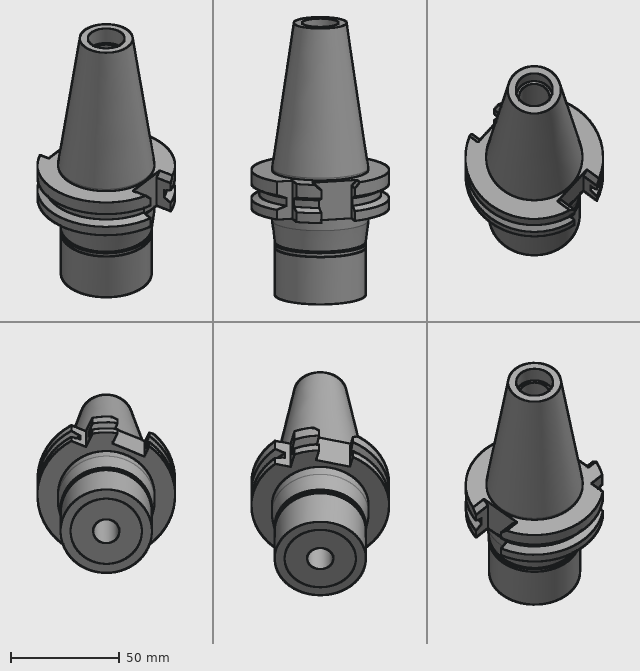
import cadquery as cq

TOTAL_HEIGHT = 128.4
GAUGE_Z = 60.0
FLANGE_TOP_Z = 58.9
GROOVE_TOP_Z = 52.5
GROOVE_BOTTOM_Z = 45.6
FLANGE_BOTTOM_Z = 41.0
SHANK_TAPER_Z = 35.2
SHANK_BOTTOM_Z = 25.0
RING_TOP_Z = 24.3
NUT_TOP_Z = 22.3

GAUGE_RADIUS = 22.2
TAPER_RATIO = 7 / 24
FLANGE_DIAMETER = 63.5
FLANGE_RADIUS = FLANGE_DIAMETER / 2
GROOVE_RADIUS = 28.1
GROOVE_FLANK_HEIGHT = 1.7
SHANK_RADIUS = 22.3
SHANK_END_RADIUS = 21.0
NECK_RADIUS = 16.4

COUNTERBORE_RADIUS = 8.5
COUNTERBORE_DEPTH = 8.0
THREAD_HOLE_RADIUS = 7.0
SEAT_RADIUS = 6.8
CONE_END_RADIUS = 6.3
BORE_RADIUS = 6.0

SLOT_WIDTH = 16.0
SLOT_CHAMFER = 2.6
LEFT_SLOT_FLOOR = 25.0
RIGHT_SLOT_FLOOR = 22.7
NOTCH_OFFSET = 18.5

RING_RADIUS = 21.2
RING_CHAMFER = 0.3
NUT_RADIUS = 21.0


def holder_blank():
    """Turned outside of the holder: taper, grooved flange, shank and neck."""
    taper_end_radius = GAUGE_RADIUS - (TOTAL_HEIGHT - GAUGE_Z) * TAPER_RATIO / 2
    groove_upper_z = GROOVE_TOP_Z - GROOVE_FLANK_HEIGHT
    groove_lower_z = GROOVE_BOTTOM_Z + GROOVE_FLANK_HEIGHT
    outline = [
        (0, 0),
        (NECK_RADIUS, 0),
        (NECK_RADIUS, SHANK_BOTTOM_Z),
        (SHANK_END_RADIUS, SHANK_BOTTOM_Z),
        (SHANK_RADIUS, SHANK_TAPER_Z),
        (SHANK_RADIUS, FLANGE_BOTTOM_Z),
        (FLANGE_RADIUS, FLANGE_BOTTOM_Z),
        (FLANGE_RADIUS, GROOVE_BOTTOM_Z),
        (GROOVE_RADIUS, groove_lower_z),
        (GROOVE_RADIUS, groove_upper_z),
        (FLANGE_RADIUS, GROOVE_TOP_Z),
        (FLANGE_RADIUS, FLANGE_TOP_Z),
        (GAUGE_RADIUS, FLANGE_TOP_Z),
        (GAUGE_RADIUS, GAUGE_Z),
        (taper_end_radius, TOTAL_HEIGHT),
        (0, TOTAL_HEIGHT),
    ]
    return cq.Workplane("XZ").polyline(outline).close().revolve(360, (0, 0), (0, 1))


def bore():
    """Stepped bore: counterbore, thread hole down to the gauge plane, 45-degree cone, through bore."""
    cone_depth = SEAT_RADIUS - CONE_END_RADIUS
    counterbore_floor_z = TOTAL_HEIGHT - COUNTERBORE_DEPTH
    outline = [
        (0, 0),
        (BORE_RADIUS, 0),
        (BORE_RADIUS, GAUGE_Z - cone_depth),
        (CONE_END_RADIUS, GAUGE_Z - cone_depth),
        (SEAT_RADIUS, GAUGE_Z),
        (THREAD_HOLE_RADIUS, GAUGE_Z),
        (THREAD_HOLE_RADIUS, counterbore_floor_z),
        (COUNTERBORE_RADIUS, counterbore_floor_z),
        (COUNTERBORE_RADIUS, TOTAL_HEIGHT),
        (0, TOTAL_HEIGHT),
    ]
    return cq.Workplane("XZ").polyline(outline).close().revolve(360, (0, 0), (0, 1))


def drive_slot(floor, side):
    """Slot through the flange, chamfered along its top edges; side is -1 for -X and +1 for +X."""
    half_width = SLOT_WIDTH / 2
    mouth_half_width = half_width + SLOT_CHAMFER
    chamfer_z = FLANGE_TOP_Z - SLOT_CHAMFER
    outline = [
        (-half_width, FLANGE_BOTTOM_Z),
        (half_width, FLANGE_BOTTOM_Z),
        (half_width, chamfer_z),
        (mouth_half_width, FLANGE_TOP_Z),
        (-mouth_half_width, FLANGE_TOP_Z),
        (-half_width, chamfer_z),
    ]
    slot = cq.Workplane("YZ", origin=(side * floor, 0, 0)).polyline(outline).close()
    return slot.extrude(side * (FLANGE_RADIUS - floor))


def orientation_notch():
    """Square notch through the flange at the -X, +Y corner."""
    size = FLANGE_RADIUS - NOTCH_OFFSET
    height = FLANGE_TOP_Z - FLANGE_BOTTOM_Z
    notch = cq.Workplane().box(size, size, height, centered=False)
    return notch.translate((-FLANGE_RADIUS, NOTCH_OFFSET, FLANGE_BOTTOM_Z))


def make_holder():
    body = holder_blank().cut(bore())
    body = body.cut(drive_slot(LEFT_SLOT_FLOOR, -1))
    body = body.cut(drive_slot(RIGHT_SLOT_FLOOR, 1))
    return body.cut(orientation_notch())


def make_ring():
    """Thin ring on the neck, with a small chamfer at its lower edge."""
    ring = cq.Workplane().workplane(offset=NUT_TOP_Z).circle(RING_RADIUS).extrude(RING_TOP_Z - NUT_TOP_Z)
    ring = ring.faces("<Z").chamfer(RING_CHAMFER)
    return ring.faces(">Z").workplane().hole(2 * NECK_RADIUS)


def make_nut():
    """Plain cylindrical nut around the lower end of the neck."""
    return cq.Workplane().circle(NUT_RADIUS).circle(NECK_RADIUS).extrude(NUT_TOP_Z)


holder = make_holder()
ring = make_ring()
nut = make_nut()

result = cq.Compound.makeCompound([holder.val(), ring.val(), nut.val()])